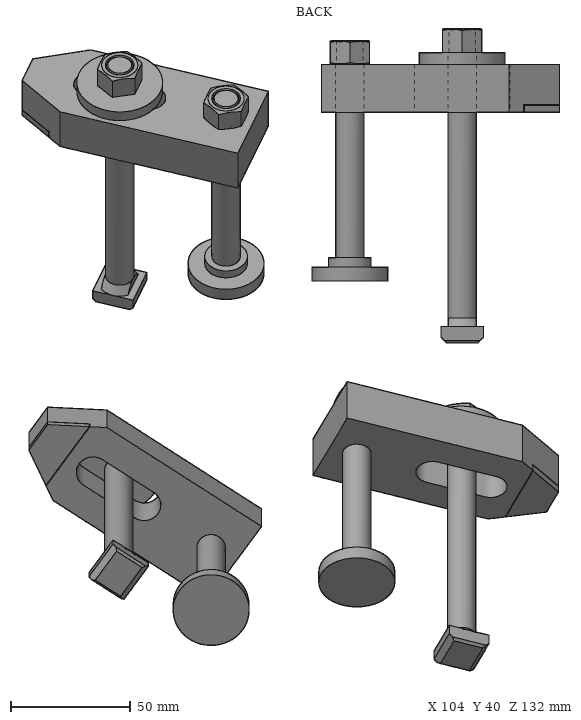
import cadquery as cq
import math


bar_length = 100.0
bar_width = 40.0
bar_thickness = 20.0
tip_width = 14.0
taper_length = 21.3
tip_to_bolt = 40.9
bolt_to_screw = 47.1
slot_length = 40.0
slot_width = 14.0

pad_length = 14.9
pad_height = 3.0
pad_clearance = 0.2

shank_diameter = 12.0
thread_diameter = 11.1
thread_tip_diameter = 10.0
thread_chamfer = (thread_diameter - thread_tip_diameter) / 2

nut_across_flats = 16.6
nut_across_corners = nut_across_flats / math.cos(math.pi / 6)
nut_height = 10.0
nut_face_diameter = 15.2
nut_chamfer_height = 0.8
countersink = (shank_diameter - thread_diameter) / 2

nut_collar_diameter = 36.0
nut_collar_thickness = 5.0

head_width = 18.0
head_height = 7.0
head_end_chamfer = 2.5
head_side_chamfer = 1.0
neck_height = 3.5
neck_width = 11.9

foot_bottom = 26.0
foot_diameter = 32.0
foot_thickness = 6.0
foot_collar_diameter = 18.0
foot_collar_height = 4.0

overall_height = 132.0
nut_seat = overall_height - nut_height
bar_top = nut_seat - nut_collar_thickness
bar_bottom = bar_top - bar_thickness
tip_x = -tip_to_bolt


def cylinder(diameter, bottom, top):
    """Upright cylinder on the Z axis."""
    return cq.Workplane("XY").workplane(offset=bottom).circle(diameter / 2).extrude(top - bottom)


def bar_blank():
    """Solid clamp bar with its tapered tip, before any cuts."""
    half_width = bar_width / 2
    half_tip = tip_width / 2
    shoulder_x = tip_x + taper_length
    end_x = tip_x + bar_length
    outline = cq.Workplane("XY").workplane(offset=bar_bottom).polyline([
        (tip_x, -half_tip),
        (shoulder_x, -half_width),
        (end_x, -half_width),
        (end_x, half_width),
        (shoulder_x, half_width),
        (tip_x, half_tip),
    ]).close()
    return outline.extrude(bar_thickness)


def nose_block(length, height):
    """Block under the tip of the bar, as wide as the bar and of the given length along X."""
    return (
        cq.Workplane("XY").box(length, bar_width, height, centered=(False, True, False))
        .translate((tip_x, 0, bar_bottom))
    )


def make_pad():
    """Pad under the tip of the bar, flush with the bar's tip and tapers."""
    return bar_blank().intersect(nose_block(pad_length, pad_height))


def make_bar():
    bar = bar_blank().cut(nose_block(pad_length + pad_clearance, pad_height + pad_clearance))

    slot = (
        cq.Workplane("XY").workplane(offset=bar_bottom)
        .slot2D(slot_length, slot_width).extrude(bar_thickness)
    )
    bar = bar.cut(slot)

    screw_hole = cylinder(shank_diameter, bar_bottom, bar_top)
    return bar.cut(screw_hole.translate((bolt_to_screw, 0, 0)))


def hexagon_nut(bottom_chamfer):
    """Hexagon nut standing at Z = 0, chamfered on top, with corners towards +Y and -Y.

    A bottom_chamfer of zero height leaves the lower face a full hexagon.
    """
    hexagon = (
        cq.Workplane("XY").polygon(6, nut_across_corners).extrude(nut_height)
        .rotate((0, 0, 0), (0, 0, 1), 90)
    )
    corner_radius = nut_across_corners / 2
    face_radius = nut_face_diameter / 2
    profile = [(0, 0)]
    if bottom_chamfer > 0:
        profile.append((face_radius, 0))
    profile += [
        (corner_radius, bottom_chamfer),
        (corner_radius, nut_height - nut_chamfer_height),
        (face_radius, nut_height),
        (0, nut_height),
    ]
    envelope = cq.Workplane("XZ").polyline(profile).close().revolve(360, (0, 0, 0), (0, 1, 0))
    bore = cylinder(thread_diameter, 0, nut_height)

    mouth = (
        cq.Workplane("XY").workplane(offset=nut_height - countersink).circle(thread_diameter / 2)
        .workplane(offset=countersink).circle(shank_diameter / 2).loft()
    )
    return hexagon.intersect(envelope).cut(bore).cut(mouth)


def make_collar_nut():
    """Nut of the T-bolt, in one piece with the wide collar that bears on the bar."""
    collar = cylinder(nut_collar_diameter, bar_top, nut_seat)
    collar = collar.cut(cylinder(shank_diameter, bar_top, nut_seat))
    return hexagon_nut(0).translate((0, 0, nut_seat)).union(collar)


def make_screw_nut():
    return hexagon_nut(nut_chamfer_height).translate((bolt_to_screw, 0, bar_top))


def make_shank(bottom, nut_bottom):
    """Plain shank up to the nut, then the reduced thread with a chamfered end."""
    thread = cylinder(thread_diameter, nut_bottom, nut_bottom + nut_height)
    thread = thread.faces(">Z").chamfer(thread_chamfer)
    return cylinder(shank_diameter, bottom, nut_bottom).union(thread)


def make_t_bolt():
    head = (
        cq.Workplane("XY").box(head_width, head_width, head_height, centered=(True, True, False))
        .faces("<Z").edges("|Y").chamfer(head_end_chamfer)
        .faces("<Z").edges("|X").chamfer(head_side_chamfer)
    )

    neck_top = head_height + neck_height
    neck = (
        cq.Workplane("XY").workplane(offset=head_height).circle(head_width / 2)
        .workplane(offset=neck_height).circle(shank_diameter / 2).loft()
    )
    flats = (
        cq.Workplane("XY").workplane(offset=head_height)
        .rect(neck_width, head_width).extrude(neck_height)
    )
    return head.union(neck.intersect(flats)).union(make_shank(neck_top, nut_seat))


def make_support_screw():
    foot_top = foot_bottom + foot_thickness
    collar_top = foot_top + foot_collar_height
    screw = (
        cylinder(foot_diameter, foot_bottom, foot_top)
        .union(cylinder(foot_collar_diameter, foot_top, collar_top))
        .union(make_shank(collar_top, bar_top))
    )
    return screw.translate((bolt_to_screw, 0, 0))


bar = make_bar()
pad = make_pad()
collar_nut = make_collar_nut()
t_bolt = make_t_bolt()
screw_nut = make_screw_nut()
support_screw = make_support_screw()

result = cq.Compound.makeCompound([
    bar.val(),
    pad.val(),
    collar_nut.val(),
    t_bolt.val(),
    screw_nut.val(),
    support_screw.val(),
])